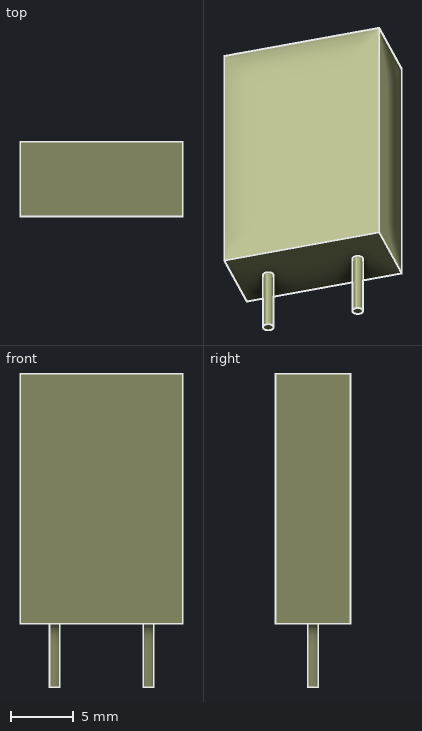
import cadquery as cq

total_height = 25.1
housing_width = 13.0
housing_depth = 6.0
housing_height = 20.0

lead_diameter = 0.85
lead_spacing = 7.5
lead_length = total_height - housing_height


def make_housing():
    """Rectangular block standing on the plane Z = 0."""
    return cq.Workplane("XY").box(
        housing_width, housing_depth, housing_height, centered=(True, True, False)
    )


def make_lead(x):
    """Round lead hanging from the underside of the housing at the given X."""
    return cq.Workplane("XY").center(x, 0).circle(lead_diameter / 2).extrude(-lead_length)


housing = make_housing()
leads = [make_lead(side * lead_spacing / 2) for side in (-1, 1)]

result = cq.Compound.makeCompound([housing.val(), *[lead.val() for lead in leads]])